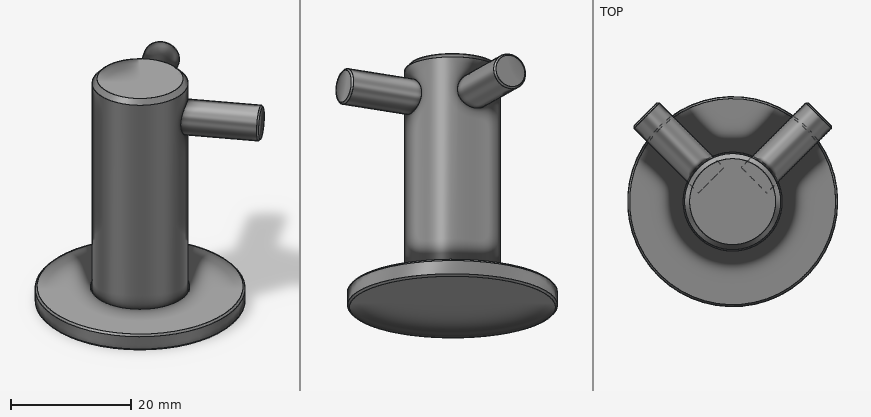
import cadquery as cq

total_height = 42.0
flange_diameter = 35.0
flange_thickness = 3.0
flange_chamfer = 0.35
recess_floor = 1.5
post_diameter = 16.0
post_chamfer = 0.85
post_clearance = 0.25
pin_diameter = 6.0
pin_chamfer = 0.3
pin_height = 35.55
pin_reach = 20.55
socket_floor = 5.05
pin_angles = (45, 135)


def pin_cylinder(angle):
    """Plain pin cylinder, pointing outward from the post at the given angle."""
    return (
        cq.Workplane("YZ", origin=(socket_floor, 0, 0))
        .center(0, pin_height)
        .circle(pin_diameter / 2)
        .extrude(pin_reach - socket_floor)
        .rotate((0, 0, 0), (0, 0, 1), angle)
    )


def make_pin(angle):
    """Peg with a chamfered outer end."""
    return pin_cylinder(0).faces(">X").chamfer(pin_chamfer).rotate((0, 0, 0), (0, 0, 1), angle)


def make_flange():
    """Round wall plate with chamfered rims and a clearance recess for the post."""
    plate = (
        cq.Workplane("XY")
        .circle(flange_diameter / 2)
        .extrude(flange_thickness)
        .edges()
        .chamfer(flange_chamfer)
    )
    recess = (
        cq.Workplane("XY", origin=(0, 0, recess_floor))
        .circle(post_diameter / 2 + post_clearance)
        .extrude(flange_thickness - recess_floor)
    )
    return plate.cut(recess)


def make_post():
    """Upright post with a chamfered top and a blind socket for each pin."""
    post = (
        cq.Workplane("XY", origin=(0, 0, recess_floor))
        .circle(post_diameter / 2)
        .extrude(total_height - recess_floor)
        .faces(">Z")
        .chamfer(post_chamfer)
    )
    for angle in pin_angles:
        post = post.cut(pin_cylinder(angle))
    return post


flange = make_flange()
post = make_post()
pins = [make_pin(angle) for angle in pin_angles]

result = cq.Compound.makeCompound([flange.val(), post.val(), *[pin.val() for pin in pins]])